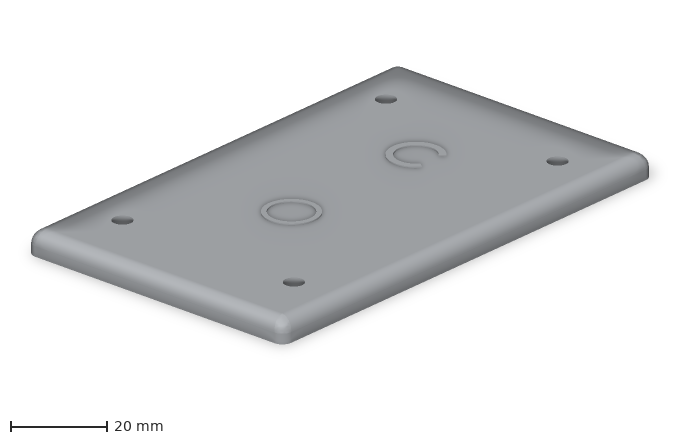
import cadquery as cq
import math

plate_length = 115.9
plate_width = 71.4
plate_thickness = 5.6
corner_radius = 2.4
top_edge_radius = 3.1

hole_diameter = 4.6
hole_spacing_x = 47.6
hole_spacing_y = 82.5

ring_height = 0.3
ring_outer_diameter = 12.7
closed_ring_inner_diameter = 10.3
closed_ring_y = -15.2
open_ring_inner_diameter = 9.5
open_ring_y = 23.8
open_ring_half_gap = 37.0


def make_plate():
    """Solid plate with rounded corners and a rounded upper rim."""
    block = cq.Workplane("XY").box(
        plate_width, plate_length, plate_thickness, centered=(True, True, False)
    )
    return block.edges("|Z").fillet(corner_radius).faces(">Z").edges().fillet(top_edge_radius)


def make_screw_holes():
    """Four through holes at the corners of a centred rectangle."""
    return (
        cq.Workplane("XY")
        .rect(hole_spacing_x, hole_spacing_y, forConstruction=True)
        .vertices()
        .circle(hole_diameter / 2)
        .extrude(plate_thickness)
    )


def make_ring(center_y, inner_diameter):
    """Flat ring standing on the top face, on the plate's long centreline."""
    return (
        cq.Workplane("XY", origin=(0, center_y, plate_thickness))
        .circle(ring_outer_diameter / 2)
        .circle(inner_diameter / 2)
        .extrude(ring_height)
    )


def make_ring_gap():
    """Wedge that opens the C-shaped ring toward +X with radial ends."""
    reach = ring_outer_diameter
    half_opening = reach * math.tan(math.radians(open_ring_half_gap))
    return (
        cq.Workplane("XY", origin=(0, open_ring_y, plate_thickness))
        .polyline([(0, 0), (reach, -half_opening), (reach, half_opening)])
        .close()
        .extrude(ring_height)
    )


closed_ring = make_ring(closed_ring_y, closed_ring_inner_diameter)
open_ring = make_ring(open_ring_y, open_ring_inner_diameter).cut(make_ring_gap())

result = make_plate().cut(make_screw_holes()).union(closed_ring).union(open_ring)